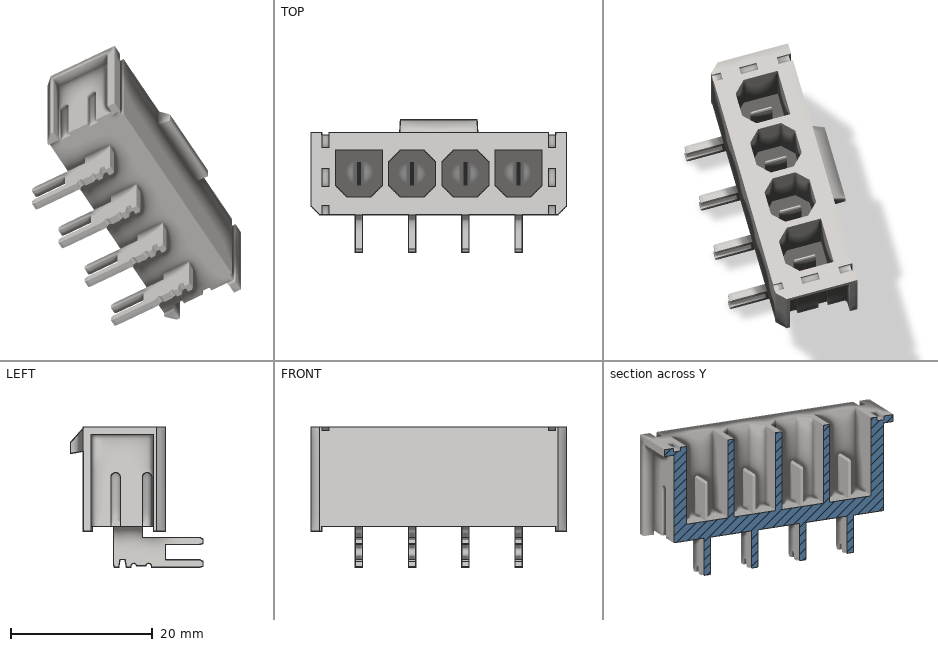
import cadquery as cq


housing_length = 36.07
housing_depth = 11.6
housing_height = 14.05
corner_chamfer = 1.25
half_length = housing_length / 2

foot_height = 0.7
foot_width = 1.55
front_foot_depth = 1.73
rear_foot_depth = 1.35

recess_depth = 1.5
recess_top = -1.1
recess_front = front_foot_depth
recess_rear = 10.5

groove_width = 1.35
groove_depth = 0.55
groove_top = -6.45
groove_centers = (2.6, 7.05)

pocket_inset = 1.55
pocket_width = 1.0
pocket_depth = 0.55
front_pocket_length = 1.3
middle_pocket_front = 4.0
middle_pocket_length = 2.52
rear_pocket_length = 2.1
rear_channel_depth = 0.35

contact_count = 4
contact_pitch = 7.5
cavity_size = 6.6
cavity_chamfer = 1.62
cavity_depth = 11.55
cavity_center_y = housing_depth / 2

blade_thickness = 0.45
blade_width = 3.15
blade_tip_depth = 5.77
blade_tip_height = 0.3
blade_tip_inset = 0.15

lead_thickness = 1.1
lead_bottom = -19.8
lead_front = 3.25
lead_rear = 7.35
prong_end = -5.3
upper_prong_top = -15.6
upper_prong_bottom = -16.6
lower_prong_top = -18.72
prong_tip_length = 0.47
prong_tip_top_drop = 0.25
prong_tip_bottom_rise = 0.15
lead_heel_width = 0.15
lead_heel_height = 0.4

notch_center = 6.05
notch_bottom_width = 1.05
notch_top_width = 0.7
notch_height = 1.1
scallop_radius = 0.4
scallop_rise = 0.15
scallop_centers = (2.38, 4.47)
relief_height = 0.2

latch_reach = 1.8
latch_root_width = 11.05
latch_tip_width = 10.82
latch_root_top = -0.2
latch_tip_top = -2.25
latch_tip_bottom = -3.8
latch_root_bottom = -3.45


def box(x_min, x_max, y_min, y_max, z_min, z_max):
    size = (x_max - x_min, y_max - y_min, z_max - z_min)
    return cq.Workplane("XY").box(*size, centered=False).translate((x_min, y_min, z_min))


def on_both_ends(left_shape):
    return left_shape.union(left_shape.mirror("YZ"))


def housing_block():
    overall_height = housing_height + foot_height
    block = box(-half_length, half_length, 0, housing_depth, -overall_height, 0)
    block = block.edges("|Z and <Y").chamfer(corner_chamfer)
    inner_half = half_length - foot_width
    between_ends = box(-inner_half, inner_half, 0, housing_depth, -overall_height, -housing_height)
    between_feet = box(
        -half_length, half_length,
        front_foot_depth, housing_depth - rear_foot_depth,
        -overall_height, -housing_height,
    )
    return block.cut(between_ends).cut(between_feet)


def end_recess():
    floor_x = -half_length + recess_depth
    bottom = -housing_height - foot_height
    recess = box(-half_length, floor_x, recess_front, recess_rear, bottom, recess_top)
    radius = groove_width / 2
    for center_y in groove_centers:
        groove = (
            cq.Workplane("YZ", origin=(floor_x, 0, 0))
            .moveTo(center_y - radius, bottom)
            .lineTo(center_y - radius, groove_top - radius)
            .threePointArc((center_y, groove_top), (center_y + radius, groove_top - radius))
            .lineTo(center_y + radius, bottom)
            .close()
            .extrude(groove_depth)
        )
        recess = recess.union(groove)
    return recess


def end_pockets():
    x_min = -half_length + pocket_inset
    x_max = x_min + pocket_width
    middle_rear = middle_pocket_front + middle_pocket_length
    rear_front = housing_depth - rear_pocket_length
    channel_front = housing_depth - rear_channel_depth
    front_pocket = box(x_min, x_max, 0, front_pocket_length, -pocket_depth, 0)
    middle_pocket = box(x_min, x_max, middle_pocket_front, middle_rear, -pocket_depth, 0)
    rear_pocket = box(x_min, x_max, rear_front, housing_depth, -pocket_depth, 0)
    rear_channel = box(x_min, x_max, channel_front, housing_depth, -housing_height, 0)
    return front_pocket.union(middle_pocket).union(rear_pocket).union(rear_channel)


def cavity(center_x, is_outer):
    """Octagonal well; the outer wells keep square rear corners."""
    half = cavity_size / 2
    well = box(
        center_x - half, center_x + half,
        cavity_center_y - half, cavity_center_y + half,
        -cavity_depth, 0,
    )
    chamfered_edges = "|Z and <Y" if is_outer else "|Z"
    return well.edges(chamfered_edges).chamfer(cavity_chamfer)


def blade(center_x):
    """Flat blade with a tapered tip, standing on the cavity floor."""
    shoulder = -blade_tip_depth - blade_tip_height
    body = box(
        center_x - blade_thickness / 2, center_x + blade_thickness / 2,
        cavity_center_y - blade_width / 2, cavity_center_y + blade_width / 2,
        -housing_height, shoulder,
    )
    tip = (
        cq.Workplane("XY", origin=(center_x, cavity_center_y, shoulder))
        .rect(blade_thickness, blade_width)
        .workplane(offset=blade_tip_height)
        .rect(blade_thickness - 2 * blade_tip_inset, blade_width - 2 * blade_tip_inset)
        .loft(ruled=True)
    )
    return body.union(tip)


def side_profile(points, center_x, thickness):
    """Extrude a Y-Z outline symmetrically about center_x."""
    plane = cq.Workplane("YZ", origin=(center_x, 0, 0))
    return plane.polyline(points).close().extrude(thickness / 2, both=True)


def prong_points(top, bottom):
    """Front end of a prong, from its top edge round to its bottom edge."""
    tip_start = prong_end + prong_tip_length
    return [
        (tip_start, top),
        (prong_end, top - prong_tip_top_drop),
        (prong_end, bottom + prong_tip_bottom_rise),
        (tip_start, bottom),
    ]


def lead(center_x):
    """Plate running down out of the housing and forward into two prongs."""
    outline = [(lead_rear, -housing_height), (lead_front, -housing_height), (lead_front, upper_prong_top)]
    outline += prong_points(upper_prong_top, upper_prong_bottom)
    outline += [(0, upper_prong_bottom), (0, lower_prong_top)]
    outline += prong_points(lower_prong_top, lead_bottom)
    outline += [
        (notch_center - notch_bottom_width / 2, lead_bottom),
        (notch_center - notch_top_width / 2, lead_bottom + notch_height),
        (notch_center + notch_top_width / 2, lead_bottom + notch_height),
        (notch_center + notch_bottom_width / 2, lead_bottom),
        (lead_rear - lead_heel_width, lead_bottom),
        (lead_rear, lead_bottom + lead_heel_height),
    ]
    plate = side_profile(outline, center_x, lead_thickness)

    scallops = (
        cq.Workplane("YZ", origin=(center_x, 0, 0))
        .pushPoints([(y, lead_bottom + scallop_rise) for y in scallop_centers])
        .circle(scallop_radius)
        .extrude(lead_thickness / 2, both=True)
    )
    relief = box(
        center_x - lead_thickness / 2, center_x + lead_thickness / 2,
        scallop_centers[0], scallop_centers[1],
        lead_bottom, lead_bottom + relief_height,
    )
    return plate.cut(scallops).cut(relief)


def latch():
    """Ramp with an undercut, narrowing slightly toward its tip."""
    tip_y = housing_depth + latch_reach
    ramp = side_profile(
        [
            (housing_depth, latch_root_top),
            (tip_y, latch_tip_top),
            (tip_y, latch_tip_bottom),
            (housing_depth, latch_root_bottom),
        ],
        0,
        latch_root_width,
    )
    plan = (
        cq.Workplane("XY")
        .polyline(
            [
                (-latch_root_width / 2, housing_depth),
                (latch_root_width / 2, housing_depth),
                (latch_tip_width / 2, tip_y),
                (-latch_tip_width / 2, tip_y),
            ]
        )
        .close()
        .extrude(-housing_height)
    )
    return ramp.intersect(plan)


result = housing_block().union(latch())
result = result.cut(on_both_ends(end_recess()))
result = result.cut(on_both_ends(end_pockets()))

for index in range(contact_count):
    contact_x = (index - (contact_count - 1) / 2) * contact_pitch
    is_outer = index in (0, contact_count - 1)
    result = result.cut(cavity(contact_x, is_outer))
    result = result.union(blade(contact_x)).union(lead(contact_x))